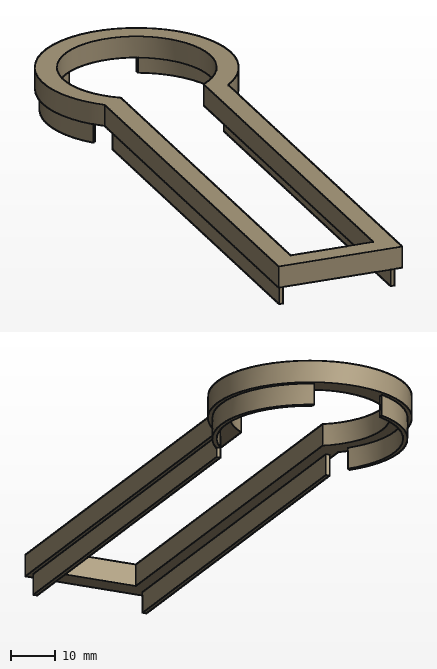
import cadquery as cq
import math

overall_length = 142.3
ring_radius = 23.0
arm_half_width = 15.1
wall = 5.0
plate_height = 5.2
rib_height = 5.0

rib_setback = 1.0
rib_thickness = 1.0
ring_rib_end_x = 14.4
arm_rib_start_x = 19.5
arm_rib_end_x = 117.2
front_gap_width = 16.8

arm_end_x = overall_length - ring_radius
rib_outer_radius = ring_radius - rib_setback
rib_half_width = arm_half_width - rib_setback


def keyhole(inset):
    """Solid keyhole of plate height: a disc joined to a rectangular bar, shrunk inward by inset."""
    disc = cq.Workplane("XY").circle(ring_radius - inset).extrude(plate_height)
    bar = cq.Workplane("XY").box(
        arm_end_x - inset, 2 * (arm_half_width - inset), plate_height, centered=(False, True, False)
    )
    return disc.union(bar)


def plate():
    """Open keyhole frame with a wall of even width, resting on top of the ribs."""
    return keyhole(0).cut(keyhole(wall)).translate((0, 0, rib_height))


def ring_rib(side):
    """Arc rib under one side of the ring: flat end at the front gap, radial end near the arm."""
    outer = rib_outer_radius
    inner = rib_outer_radius - rib_thickness
    end_angle = math.acos(ring_rib_end_x / outer)
    gap_y = front_gap_width / 2

    def at_angle(radius, angle):
        return (radius * math.cos(angle), side * radius * math.sin(angle))

    def at_gap(radius):
        return (-math.sqrt(radius**2 - gap_y**2), side * gap_y)

    return (
        cq.Workplane("XY")
        .moveTo(*at_angle(outer, end_angle))
        .threePointArc((0, side * outer), at_gap(outer))
        .lineTo(*at_gap(inner))
        .threePointArc((0, side * inner), at_angle(inner, end_angle))
        .close()
        .extrude(rib_height)
    )


def arm_rib(side):
    """Straight rib under one side of the arm."""
    length = arm_rib_end_x - arm_rib_start_x
    rib = cq.Workplane("XY").box(length, rib_thickness, rib_height, centered=(False, True, False))
    return rib.translate((arm_rib_start_x, side * (rib_half_width - rib_thickness / 2), 0))


result = plate()
for side in (-1, 1):
    result = result.union(ring_rib(side)).union(arm_rib(side))